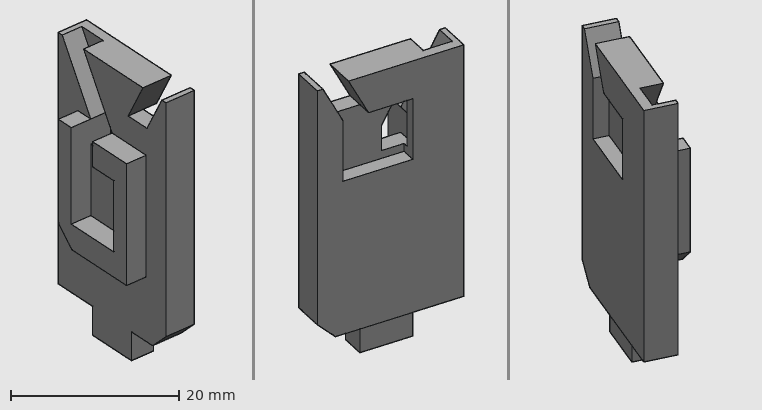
import cadquery as cq

total_height = 39.55
plate_width = 20.2
plate_thickness = 4.4
corner_chamfer = 2.5

tab_width = 7.3
tab_height = 4.07
tab_thickness = 3.4

frame_width = 12.78
frame_height = 17.15
frame_projection = 3.0
frame_top = total_height - 9.2
frame_chamfer = 2.55
frame_wall = 2.4
frame_base_wall = 3.55
frame_top_wall = 3.55

channel_width = 4.0
channel_depth = 3.0
channel_top_left = 0.8

slot_width = 3.52
slot_depth = 5.35
slot_top_left = 15.9
slot_floor_left = 13.15

pocket_left = 7.05
pocket_depth = 2.05
pocket_height = 8.55

frame_left = (plate_width - frame_width) / 2
frame_right = frame_left + frame_width
frame_bottom = frame_top - frame_height
cavity_left = frame_left + frame_wall
cavity_right = frame_right - frame_wall
cavity_bottom = frame_bottom + frame_base_wall
cavity_top = frame_top - frame_top_wall
channel_right = cavity_left + channel_width
slot_floor = total_height - slot_depth
pocket_right = slot_floor_left + slot_width
pocket_bottom = slot_floor - pocket_height


def prism(points, y_front, y_back):
    """Extrude an XZ outline between two Y positions."""
    outline = cq.Workplane("XZ", origin=(0, y_back, 0)).polyline(points).close()
    return outline.extrude(y_back - y_front)


def block(left, right, bottom, top, y_front, y_back):
    """Box given by its limits along X, Z and Y."""
    corners = [(left, bottom), (right, bottom), (right, top), (left, top)]
    return prism(corners, y_front, y_back)


def make_plate():
    plate = block(0, plate_width, tab_height, total_height, 0, plate_thickness)
    return plate.edges("|Y and >X and <Z").chamfer(corner_chamfer)


def make_tab():
    left = (plate_width - tab_width) / 2
    return block(left, left + tab_width, 0, tab_height, 0, tab_thickness)


def make_frame():
    frame = block(frame_left, frame_right, frame_bottom, frame_top, -frame_projection, 0)
    frame = frame.edges("|Y and <X and <Z").chamfer(frame_chamfer)
    cavity = block(cavity_left, cavity_right, cavity_bottom, cavity_top, -frame_projection, 0)
    return frame.cut(cavity)


def make_channel():
    """Slanted entry that turns straight down through the top wall of the frame."""
    points = [
        (channel_top_left, total_height),
        (cavity_left, frame_top),
        (cavity_left, cavity_top),
        (channel_right, cavity_top),
        (channel_right, frame_top),
        (channel_top_left + channel_width, total_height),
    ]
    return prism(points, -frame_projection, channel_depth)


def make_slot():
    points = [
        (slot_top_left, total_height),
        (slot_floor_left, slot_floor),
        (slot_floor_left + slot_width, slot_floor),
        (slot_top_left + slot_width, total_height),
    ]
    return prism(points, 0, plate_thickness)


def make_pocket():
    pocket_front = plate_thickness - pocket_depth
    return block(pocket_left, pocket_right, pocket_bottom, slot_floor, pocket_front, plate_thickness)


body = make_plate().union(make_tab()).union(make_frame())
result = body.cut(make_channel()).cut(make_slot()).cut(make_pocket())